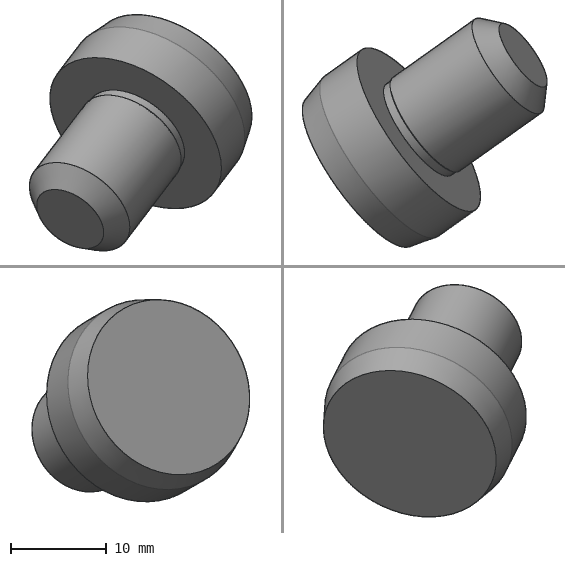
import cadquery as cq
import math


head_diameter = 20.5
head_straight_length = 5.0
head_taper_length = 3.0
head_taper_angle = 15.0

shank_diameter = 12.0
shank_length = 14.0
tip_chamfer = 2.0

relief_diameter = 11.7
relief_width = 1.0

head_radius = head_diameter / 2
head_top_radius = head_radius - head_taper_length * math.tan(math.radians(head_taper_angle))
head_length = head_straight_length + head_taper_length
shank_radius = shank_diameter / 2
relief_radius = relief_diameter / 2


def make_head():
    """Straight disc that tapers toward its outer face."""
    half_section = [
        (0, 0),
        (head_radius, 0),
        (head_radius, head_straight_length),
        (head_top_radius, head_length),
        (0, head_length),
    ]
    return revolve_about_y(half_section)


def make_shank():
    """Cylindrical pin with a chamfered tip and a shallow relief groove under the head."""
    half_section = [
        (0, 0),
        (relief_radius, 0),
        (relief_radius, -relief_width),
        (shank_radius, -relief_width),
        (shank_radius, tip_chamfer - shank_length),
        (shank_radius - tip_chamfer, -shank_length),
        (0, -shank_length),
    ]
    return revolve_about_y(half_section)


def revolve_about_y(half_section):
    """Full turn of a closed (radius, Y) outline about the Y axis."""
    return cq.Workplane("XY").polyline(half_section).close().revolve(360, (0, 0, 0), (0, 1, 0))


result = make_head().union(make_shank())